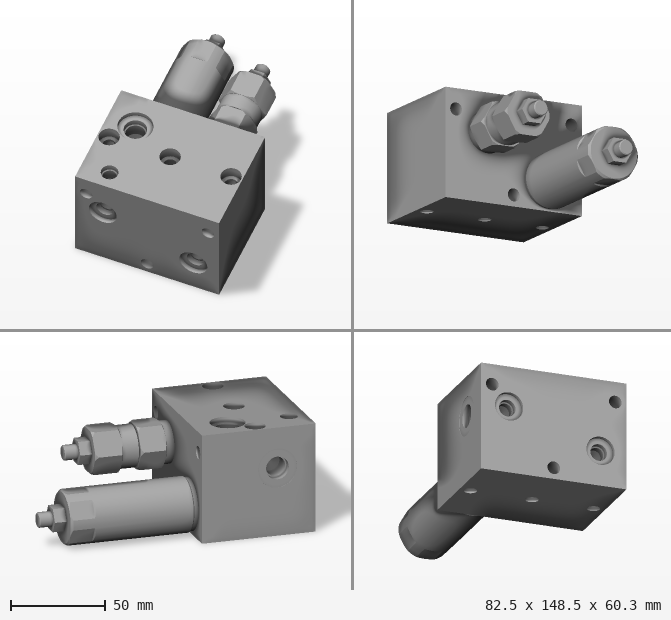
import cadquery as cq
import math

BLOCK_X = 82.55
BLOCK_Y = 63.5
BLOCK_Z = 60.33
OVERALL_Y = 148.46

MOUNT_DIAMETER = 7.14
MOUNT_EDGE = 6.35
MOUNT_UPPER_Z = 48.9
COUNTERBORE_DIAMETER = 11.3
COUNTERBORE_DEPTH = 6.6

FRONT_PORTS = ((15.9, 37.6), (67.8, 19.9))
TOP_PORT = (16.4, 43.7)
SIDE_PORT = (21.3, 37.7)
GAUGE_PORT = (15.8, 9.6)
SMALL_LEAD = 9.4
SMALL_TAP = 7.7
SMALL_PORT_DEPTH = 10.0
TOP_LEAD = 12.5
SIDE_LEAD = 12.7
LARGE_TAP = 10.8
LARGE_PORT_DEPTH = 13.0
FRONT_SPOTFACE = 16.0
TOP_SPOTFACE = 19.1
SIDE_SPOTFACE = 21.7
SPOTFACE_DEPTH = 2.7
SIDE_SPOTFACE_DEPTH = 0.2
LEAD_BORE_DEPTH = 3.3
DRILL_POINT_ANGLE = 118.0
DOWNWARD = cq.Plane(origin=(0, 0, 0), xDir=(1, 0, 0), normal=(0, 0, -1))

ORIFICE_DIAMETER = 2.0
ORIFICE_DROP = 1.2
ORIFICE_RUN = 3.0

RELIEF_AXIS = (20.3, 15.875)
CHECK_AXIS = (57.15, 38.8)

LOCKNUT_FLATS = 12.9
LOCKNUT_LENGTH = 6.5
STUD_DIAMETER = 8.3
STUD_TIP_CHAMFER = 0.5

RELIEF_LENGTH = OVERALL_Y - BLOCK_Y
RELIEF_NECK_DIAMETER = 29.0
RELIEF_NECK_LENGTH = 2.2
RELIEF_BODY_DIAMETER = 30.3
RELIEF_BODY_END = 71.2
RELIEF_BODY_CHAMFER = 0.7
RELIEF_CROWN_LENGTH = 1.2
RELIEF_CROWN_RADIUS = 14.0
RELIEF_FLATS = 28.575
RELIEF_FLATS_START = 57.9

CHECK_LENGTH = 58.5
CHECK_FLATS = 23.8
CHECK_BARREL_DIAMETER = 23.4
CHECK_HEX_ENDS = ((4.4, 19.1), (28.7, 44.6))
CHECK_GROOVE_DIAMETER = 17.3
CHECK_GROOVE_WIDTH = 0.7
HEX_CHAMFER_ANGLE = 30.0
HEX_SIDES = 6


def corner_diameter(flats):
    """Across-corners size of a hexagon from its across-flats size."""
    return flats / math.cos(math.pi / HEX_SIDES)


def axis_plane(axis):
    """Plane on the block's +Y face, centred on a cartridge axis, normal along +Y."""
    x, z = axis
    return cq.Plane(origin=(x, BLOCK_Y, z), xDir=(1, 0, 0), normal=(0, 1, 0))


def rod(plane, diameter, start, end):
    return cq.Workplane(plane).workplane(offset=start).circle(diameter / 2).extrude(end - start)


def hexagon(plane, flats, start, end):
    """Hexagonal prism with two corners on the X direction."""
    section = cq.Workplane(plane).workplane(offset=start).polygon(HEX_SIDES, corner_diameter(flats))
    return section.extrude(end - start)


def chamfered_hexagon(plane, flats, start, end):
    """Hexagonal prism whose corners are turned back to the flats at both ends."""
    corner_radius = corner_diameter(flats) / 2
    inset = corner_radius - flats / 2
    height = inset * math.tan(math.radians(HEX_CHAMFER_ANGLE))
    turned = rod(plane, 2 * corner_radius, start, end)
    turned = turned.faces("<Y").chamfer(height, inset).faces(">Y").chamfer(inset, height)
    return hexagon(plane, flats, start, end).intersect(turned)


def adjuster(plane, start, end):
    """Locknut and stud on the outer end of a cartridge."""
    nut = hexagon(plane, LOCKNUT_FLATS, start, start + LOCKNUT_LENGTH)
    stud = rod(plane, STUD_DIAMETER, start, end).faces(">Y").chamfer(STUD_TIP_CHAMFER)
    return nut.union(stud)


def relief_flat_cutter():
    """Prism over one wrench flat of a body lying on the Y axis, with a 45 degree run-out."""
    flat = RELIEF_FLATS / 2
    height = RELIEF_BODY_DIAMETER - RELIEF_FLATS
    profile = (
        cq.Workplane("YZ")
        .moveTo(RELIEF_FLATS_START, flat)
        .lineTo(RELIEF_BODY_END, flat)
        .lineTo(RELIEF_BODY_END, flat + height)
        .lineTo(RELIEF_FLATS_START - height, flat + height)
        .close()
    )
    return profile.extrude(RELIEF_BODY_DIAMETER / 2, both=True)


def relief_cartridge():
    plane = axis_plane(RELIEF_AXIS)
    x, z = RELIEF_AXIS
    body_radius = RELIEF_BODY_DIAMETER / 2
    body = (
        cq.Workplane("XY")
        .moveTo(0, RELIEF_NECK_LENGTH)
        .lineTo(body_radius - RELIEF_BODY_CHAMFER, RELIEF_NECK_LENGTH)
        .lineTo(body_radius, RELIEF_NECK_LENGTH + RELIEF_BODY_CHAMFER)
        .lineTo(body_radius, RELIEF_BODY_END - RELIEF_CROWN_LENGTH)
        .lineTo(RELIEF_CROWN_RADIUS, RELIEF_BODY_END)
        .lineTo(0, RELIEF_BODY_END)
        .close()
        .revolve(360, (0, 0, 0), (0, 1, 0))
    )
    cutter = relief_flat_cutter()
    for side in range(HEX_SIDES):
        body = body.cut(cutter.rotate((0, 0, 0), (0, 1, 0), side * 360 / HEX_SIDES))
    body = body.translate((x, BLOCK_Y, z))
    neck = rod(plane, RELIEF_NECK_DIAMETER, 0, RELIEF_NECK_LENGTH)
    return neck.union(body).union(adjuster(plane, RELIEF_BODY_END, RELIEF_LENGTH))


def check_cartridge():
    plane = axis_plane(CHECK_AXIS)
    (inner_start, inner_end), (outer_start, outer_end) = CHECK_HEX_ENDS
    groove_end = inner_end + CHECK_GROOVE_WIDTH
    cartridge = rod(plane, CHECK_BARREL_DIAMETER, 0, inner_start)
    cartridge = cartridge.union(rod(plane, CHECK_GROOVE_DIAMETER, inner_end, groove_end))
    cartridge = cartridge.union(rod(plane, CHECK_BARREL_DIAMETER, groove_end, outer_start))
    for start, end in CHECK_HEX_ENDS:
        cartridge = cartridge.union(chamfered_hexagon(plane, CHECK_FLATS, start, end))
    return cartridge.union(adjuster(plane, outer_end, CHECK_LENGTH))


def port_tool(lead_diameter, tap_diameter, depth, spotface_diameter, spotface_depth):
    """Port cutter pointing down -Z from the origin: spotface, lead bore and square-ended tapped bore."""
    lead_end = spotface_depth + LEAD_BORE_DEPTH
    tool = rod(DOWNWARD, spotface_diameter, 0, spotface_depth)
    tool = tool.union(rod(DOWNWARD, lead_diameter, spotface_depth, lead_end))
    return tool.union(rod(DOWNWARD, tap_diameter, lead_end, depth))


def drill_point(diameter, depth):
    """Conical end of a drilled hole, starting at the given depth along -Z."""
    radius = diameter / 2
    profile = (
        cq.Workplane("XZ")
        .moveTo(0, -depth)
        .lineTo(radius, -depth)
        .lineTo(0, -depth - point_length(diameter))
        .close()
    )
    return profile.revolve(360, (0, 0, 0), (0, 1, 0))


def point_length(diameter):
    return diameter / 2 / math.tan(math.radians(DRILL_POINT_ANGLE / 2))


def cut_front_ports(body):
    tool = port_tool(SMALL_LEAD, SMALL_TAP, SMALL_PORT_DEPTH, FRONT_SPOTFACE, SPOTFACE_DEPTH)
    tool = tool.union(drill_point(SMALL_TAP, SMALL_PORT_DEPTH))
    tool = tool.rotate((0, 0, 0), (1, 0, 0), 90)
    for x, z in FRONT_PORTS:
        body = body.cut(tool.translate((x, 0, z)))
    return body


def cut_orifice(body):
    """Small passage breaking through the drill point of the lower front port."""
    x, z = FRONT_PORTS[1]
    end = SMALL_PORT_DEPTH + point_length(SMALL_TAP) + ORIFICE_RUN
    plane = cq.Plane(origin=(x, 0, z - ORIFICE_DROP), xDir=(1, 0, 0), normal=(0, 1, 0))
    return body.cut(rod(plane, ORIFICE_DIAMETER, SMALL_PORT_DEPTH, end))


def cut_top_port(body):
    tool = port_tool(TOP_LEAD, LARGE_TAP, LARGE_PORT_DEPTH, TOP_SPOTFACE, SPOTFACE_DEPTH)
    tool = tool.union(drill_point(LARGE_TAP, LARGE_PORT_DEPTH))
    return body.cut(tool.translate((*TOP_PORT, BLOCK_Z)))


def cut_side_port(body):
    tool = port_tool(SIDE_LEAD, LARGE_TAP, LARGE_PORT_DEPTH, SIDE_SPOTFACE, SIDE_SPOTFACE_DEPTH)
    tool = tool.union(drill_point(LARGE_TAP, LARGE_PORT_DEPTH))
    tool = tool.rotate((0, 0, 0), (0, 1, 0), -90)
    return body.cut(tool.translate((0, *SIDE_PORT)))


def cut_gauge_port(body):
    """Stepped, flat-bottomed hole with no spotface in the top face."""
    tool = rod(DOWNWARD, SMALL_LEAD, 0, LEAD_BORE_DEPTH)
    tool = tool.union(rod(DOWNWARD, SMALL_TAP, LEAD_BORE_DEPTH, SMALL_PORT_DEPTH))
    return body.cut(tool.translate((*GAUGE_PORT, BLOCK_Z)))


def cut_mounting_holes(body):
    left = MOUNT_EDGE
    middle = BLOCK_X / 2
    right = BLOCK_X - MOUNT_EDGE
    for x in (left, middle, right):
        top = cq.Workplane("XY", origin=(x, BLOCK_Y / 2, BLOCK_Z))
        body = body.cut(top.circle(MOUNT_DIAMETER / 2).extrude(-BLOCK_Z))
        body = body.cut(top.circle(COUNTERBORE_DIAMETER / 2).extrude(-COUNTERBORE_DEPTH))
    for x, z in ((left, MOUNT_UPPER_Z), (right, MOUNT_UPPER_Z), (middle, MOUNT_EDGE)):
        front = cq.Workplane("XZ", origin=(x, 0, z))
        body = body.cut(front.circle(MOUNT_DIAMETER / 2).extrude(-BLOCK_Y))
    return body


block = cq.Workplane("XY").box(BLOCK_X, BLOCK_Y, BLOCK_Z, centered=False)
block = cut_mounting_holes(block)
block = cut_orifice(cut_front_ports(block))
block = cut_top_port(block)
block = cut_side_port(block)
block = cut_gauge_port(block)
result = block.union(relief_cartridge()).union(check_cartridge())